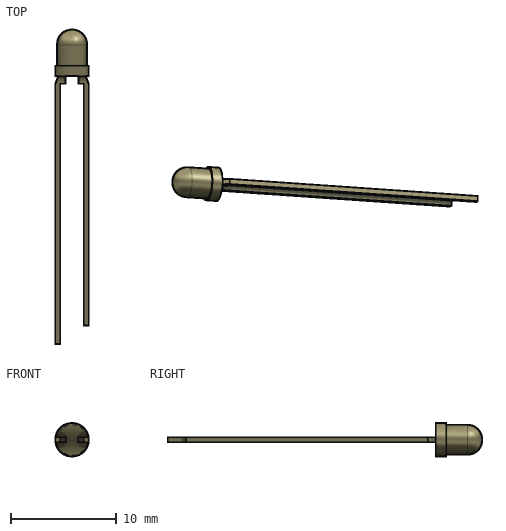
import cadquery as cq
import math


flange_diameter = 3.2
flange_length = 1.0
barrel_diameter = 2.88
barrel_length = 2.0

lead_thickness = 0.5
long_lead_length = 25.4
short_lead_length = 23.65
lead_outer_x = flange_diameter / 2
lead_inner_x = lead_outer_x - lead_thickness

stub_inner_x = 0.6
stub_outer_x = 1.3
stub_length = 0.73


def make_lens():
    """Revolve the flange, the barrel and its hemispherical dome about the Y axis."""
    flange_radius = flange_diameter / 2
    barrel_radius = barrel_diameter / 2
    dome_base_y = flange_length + barrel_length
    dome_tip = (0, dome_base_y + barrel_radius)
    mid_offset = barrel_radius * math.sqrt(0.5)
    dome_midpoint = (mid_offset, dome_base_y + mid_offset)
    return (
        cq.Workplane("XY")
        .lineTo(flange_radius, 0)
        .lineTo(flange_radius, flange_length)
        .lineTo(barrel_radius, flange_length)
        .lineTo(barrel_radius, dome_base_y)
        .threePointArc(dome_midpoint, dome_tip)
        .close()
        .revolve(360, (0, 0, 0), (0, 1, 0))
    )


def make_lead(side, length):
    """Make a square lead with its wide stub; side is -1 for -X and +1 for +X."""
    outline = [
        (side * stub_inner_x, 0),
        (side * stub_outer_x, 0),
        (side * lead_outer_x, -stub_length),
        (side * lead_outer_x, -length),
        (side * lead_inner_x, -length),
        (side * lead_inner_x, -stub_length),
        (side * stub_inner_x, -stub_length),
    ]
    return cq.Workplane("XY").polyline(outline).close().extrude(lead_thickness / 2, both=True)


long_lead = make_lead(-1, long_lead_length)
short_lead = make_lead(1, short_lead_length)
result = make_lens().union(long_lead).union(short_lead)